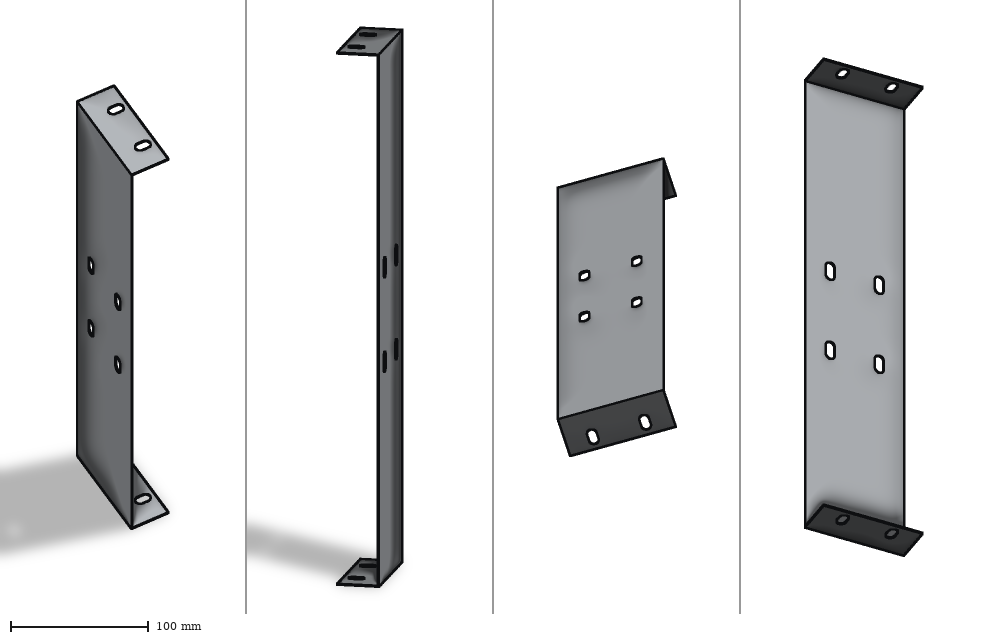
import cadquery as cq

width = 80.0
depth = 31.0
height = 396.7
sheet = 1.0

slot_width = 7.0
slot_spacing_x = 39.5

web_slot_spacing_z = 70.2
web_slot_length = 15.0

flange_slot_length = 12.0
flange_slot_edge = 10.0


def channel():
    """Thin web on the -Y side with a flange at each end toward +Y."""
    outer = cq.Workplane("XY").box(width, depth, height)
    inner = cq.Workplane("XY").box(width, depth, height - 2 * sheet)
    return outer.cut(inner.translate((0, sheet, 0)))


def web_slots():
    """Four upright slots centred on the web."""
    return (
        cq.Workplane("XZ", origin=(0, -depth / 2, 0))
        .rarray(slot_spacing_x, web_slot_spacing_z, 2, 2)
        .slot2D(web_slot_length, slot_width, 90)
        .extrude(sheet, both=True)
    )


def flange_slots():
    """A pair of slots, running along Y, through both flanges."""
    return (
        cq.Workplane("XY", origin=(0, depth / 2 - flange_slot_edge, 0))
        .rarray(slot_spacing_x, 4, 2, 1)
        .slot2D(flange_slot_length, slot_width, 90)
        .extrude(height, both=True)
    )


result = channel().cut(web_slots()).cut(flange_slots())